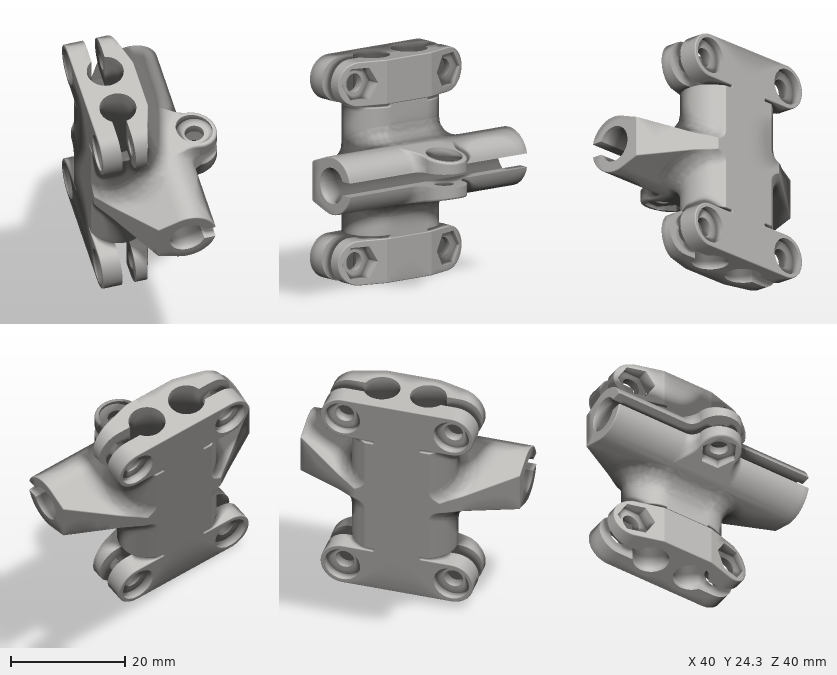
import cadquery as cq
import math

length = 40.0
bore_d = 6.5
screw_d = 3.4
head_d = 6.5
nut_flats = 5.75
clamp_gap = 2.5
lug_r = 4.0
edge_r = 0.2
lug_edge_r = 0.4
reach = 2 * length

rod_x = 4.25
body_r = 5.3
body_back = 2 * body_r
flank_angle = 34.6
relief_w = 0.45
relief_inner_x = 4.25

ear_x = 9.9
ear_z = length / 2 - lug_r
ear_end_x = ear_x + lug_r
ear_end_y = 8.0
ear_bend_x = 4.95
ear_gap_y = 4.75
ear_head_depth = 1.6
ear_nut_floor_y = 7.4
body_half_h = ear_z - lug_r

tube_y = 13.7
tube_r = 5.2
taper_angle = 19.0
web_root_x = 7.85
blend_r = 3.0
run_out = 3.2

lug_y = 20.25
lug_angle = 11.2
flare_r = 2.0
lug_seat_z = 2.8


def both_sides(profile, depth):
    """Extrude a profile by +/- depth / 2 about its plane."""
    return profile.extrude(depth / 2, both=True)


def make_body_half():
    """Rod body with the sloping flanks run out past the front face."""
    slope = math.radians(flank_angle)
    flank_x = rod_x + body_r * math.sin(slope)
    flank_y = body_r - body_r * math.cos(slope)
    front_x = flank_x - (flank_y + run_out) / math.tan(slope)
    outline = (
        cq.Workplane("XY").workplane(offset=-body_half_h)
        .moveTo(-front_x, -run_out)
        .lineTo(front_x, -run_out)
        .lineTo(flank_x, flank_y)
        .threePointArc((rod_x + body_r, body_r), (rod_x, body_back))
        .lineTo(-rod_x, body_back)
        .threePointArc((-rod_x - body_r, body_r), (-flank_x, flank_y))
        .close()
    )
    return outline.extrude(2 * body_half_h)


def make_tube_half():
    """Upper half of the tube and its tapering web, run out past the front face."""
    taper = math.radians(taper_angle)
    tangent_y = tube_y - tube_r * math.sin(taper)
    tangent_z = tube_r * math.cos(taper)
    front_z = tangent_z - (tangent_y + run_out) * math.tan(taper)
    diagonal = tube_r * math.sqrt(0.5)
    section = (
        cq.Workplane("YZ")
        .moveTo(-run_out, -body_half_h)
        .lineTo(-run_out, front_z)
        .lineTo(tangent_y, tangent_z)
        .threePointArc((tube_y + diagonal, diagonal), (tube_y + tube_r, 0))
        .lineTo(tube_y + tube_r, -body_half_h)
        .close()
    )
    return both_sides(section, length)


def above_centre(edges):
    return [e for e in edges if e.BoundingBox().zmax > edge_r]


def unique_edges(faces):
    edges = []
    for edge in (e for f in faces for e in f.Edges()):
        if not any(edge.isSame(known) for known in edges):
            edges.append(edge)
    return edges


def round_web(half):
    """Soften the sloping web fronts and the outer rim of the tube ends."""
    fronts = half.faces("<X or >X").vals() + [
        f for f in half.faces("%PLANE").vals()
        if f.normalAt().y < -0.5 and abs(f.Center().x) > web_root_x
    ]
    return half.newObject(above_centre(unique_edges(fronts))).fillet(edge_r)


def round_front_and_shoulders(half):
    """Soften the outline of the front face and the body shoulders facing the gaps."""
    shoulder_z = body_half_h - relief_w
    shoulders = [
        e for e in half.edges().vals()
        if e.BoundingBox().zlen < 0.005 and abs(e.Center().z - shoulder_z) < 0.005
        and abs(e.Center().x) > rod_x + relief_w and e.BoundingBox().ymax > edge_r
    ]
    front = [
        e for e in above_centre(half.faces("<Y").edges().vals())
        if abs(abs(e.Center().x) - web_root_x) > edge_r or e.Center().z > 2
    ]
    return half.newObject(front + shoulders).fillet(edge_r)


def make_core_half():
    """Body and tube with the large blend between them, trimmed to the front faces."""
    body = make_body_half()
    tube = make_tube_half()
    joined = body.union(tube)
    seam = [
        e for e in joined.edges().vals()
        if -body_half_h < e.BoundingBox().zmin and e.BoundingBox().zmax < tube_r
        and e.BoundingBox().ymin < body_back + edge_r
        and abs(e.Center().x) < rod_x + body_r
        and (e.BoundingBox().ymax > body_back / 2 or e.BoundingBox().ylen > edge_r)
    ]
    blended = joined.newObject(seam).fillet(blend_r)
    half = blended.cut(cq.Workplane("XY").box(reach, reach, reach, (True, True, False)).mirror("XY"))
    half = half.cut(cq.Workplane("XZ").box(reach, reach, reach, (True, True, False)))
    slope = math.tan(math.radians(flank_angle))
    for sx in (-1, 1):
        beyond_web = (
            cq.Workplane("XY")
            .moveTo(sx * web_root_x, 0)
            .lineTo(sx * length, 0)
            .lineTo(sx * length, (length - web_root_x) * slope)
            .close()
        )
        half = half.cut(both_sides(beyond_web, reach))
    return round_web(half)


def make_ears():
    """Stadium-shaped bars at the top and bottom, with backs sloping toward the ends."""
    plan = (
        cq.Workplane("XY")
        .moveTo(-ear_end_x, 0)
        .lineTo(ear_end_x, 0)
        .lineTo(ear_end_x, ear_end_y)
        .lineTo(ear_bend_x, body_back)
        .lineTo(-ear_bend_x, body_back)
        .lineTo(-ear_end_x, ear_end_y)
        .close()
    )
    stadiums = (
        cq.Workplane("XZ").pushPoints([(0, ear_z), (0, -ear_z)])
        .slot2D(2 * ear_end_x, 2 * lug_r).extrude(-body_back)
    )
    ears = stadiums.intersect(both_sides(plan, length))
    backs = [f for f in ears.faces("%PLANE").vals() if f.normalAt().y > 0.5]
    rims = [e for e in unique_edges(backs) if abs(abs(e.Center().x) - ear_bend_x) > 0.005]
    return ears.newObject(rims).fillet(edge_r)


def make_relief_gaps():
    slot_l = reach / 2
    points = [
        (sx * (relief_inner_x + slot_l / 2), sz * (body_half_h - relief_w / 2))
        for sx in (-1, 1) for sz in (-1, 1)
    ]
    return cq.Workplane("XZ").pushPoints(points).slot2D(slot_l, relief_w).extrude(-body_back)


def make_lug():
    """Rear lug: rounded end, sloping faces and flared sides where it leaves the tube."""
    slope = math.radians(lug_angle)
    base_y = tube_y + tube_r * math.sin(slope)
    base_z = tube_r * math.cos(slope)
    tip_y = lug_y + lug_r
    tip_z = base_z - (tip_y - base_y) * math.tan(slope)
    wedge = both_sides(
        cq.Workplane("YZ")
        .polyline([(tube_y, 0), (base_y, base_z), (tip_y, tip_z), (tip_y, -tip_z), (base_y, -base_z)])
        .close(),
        length,
    )
    foot_x = lug_r + flare_r
    bend = flare_r * (1 - math.sqrt(0.5))
    flare = (
        cq.Workplane("XY")
        .moveTo(-foot_x, tube_y)
        .lineTo(foot_x, tube_y)
        .lineTo(foot_x, tube_y + tube_r)
        .threePointArc((lug_r + bend, tube_y + tube_r + bend), (lug_r, tube_y + tube_r + flare_r))
        .lineTo(lug_r, reach)
        .lineTo(-lug_r, reach)
        .lineTo(-lug_r, tube_y + tube_r + flare_r)
        .threePointArc((-lug_r - bend, tube_y + tube_r + bend), (-foot_x, tube_y + tube_r))
        .close()
        .revolve(360, (0, tube_y, 0), (1, tube_y, 0))
    )
    outline = both_sides(cq.Workplane("XY").center(0, lug_y).circle(lug_r), length).union(
        cq.Workplane("XY").box(2 * foot_x, lug_y - tube_y, length).translate((0, (lug_y + tube_y) / 2, 0))
    )
    lug = wedge.intersect(flare).intersect(outline)
    slopes = [f for f in lug.faces("%PLANE").vals() if abs(f.normalAt().z) > 0.5]
    rims = [e for e in unique_edges(slopes) if e.Center().y > tube_y + lug_edge_r * 3]
    return lug.newObject(rims).fillet(lug_edge_r)


def cut_rod_bores(part):
    part = part.cut(both_sides(cq.Workplane("XY").pushPoints([(-rod_x, body_r), (rod_x, body_r)])
                               .circle(bore_d / 2), reach))
    return part.cut(both_sides(cq.Workplane("YZ").center(tube_y, 0).circle(bore_d / 2), reach))


def cut_slits(part):
    for sx in (-1, 1):
        for sz in (-1, 1):
            part = part.cut(cq.Workplane("XY").box(ear_x, clamp_gap, 2 * lug_r)
                            .translate((sx * (rod_x + ear_x / 2), ear_gap_y, sz * ear_z)))
    depth = lug_y + lug_r - tube_y
    return part.cut(cq.Workplane("XY").box(reach, depth, clamp_gap)
                    .translate((0, tube_y + depth / 2, 0)))


def cut_screw(part, plane, head_seat, nut_seat):
    """Screw hole along the plane normal; the head seat is on the positive side of the nut seat."""
    hexagon_d = nut_flats / math.cos(math.pi / 6)
    hole = both_sides(cq.Workplane(plane).circle(screw_d / 2), length)
    head = cq.Workplane(plane).workplane(offset=head_seat).circle(head_d / 2).extrude(lug_r)
    nut = cq.Workplane(plane).workplane(offset=nut_seat).polygon(6, hexagon_d).extrude(-lug_r)
    return part.cut(hole, clean=False).cut(head, clean=False).cut(nut, clean=False)


above = cq.Workplane("XY").box(reach, reach, reach, (True, True, False))
half = make_core_half().union(make_ears().intersect(above)).cut(make_relief_gaps())
half = round_front_and_shoulders(half)
half = half.union(make_lug().intersect(above), clean=False)
half = cut_slits(cut_rod_bores(half))
for sx in (-1, 1):
    ear_plane = cq.Plane((sx * ear_x, 0, ear_z), xDir=(1, 0, 0), normal=(0, -1, 0))
    half = cut_screw(half, ear_plane, -ear_head_depth, -ear_nut_floor_y)
result = half.union(half.mirror("XY"), clean=False)
lug_plane = cq.Plane((0, lug_y, 0), xDir=(1, 0, 0), normal=(0, 0, 1))
result = cut_screw(result, lug_plane, lug_seat_z, -lug_seat_z).clean()